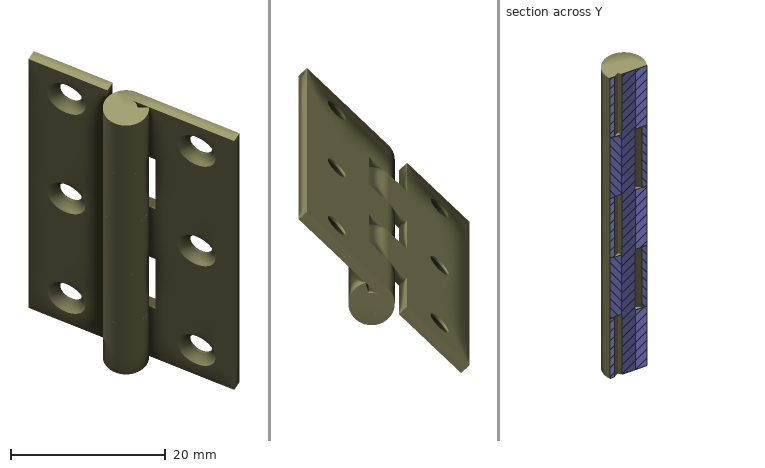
import cadquery as cq
import math

length = 50.0
width = 30.0
sheet = 1.5
pin_radius = 1.5
notch_edge = 3.5
knuckle_count = 5
curl_end_angle = 29.0

hole_x = 9.5
hole_pitch = 20.0
holes_per_leaf = 3
hole_diameter = 3.3
sink_diameter = 5.6
sink_angle = 90.0

barrel_radius = pin_radius + sheet
leaf_front = pin_radius
leaf_back = barrel_radius
half_width = width / 2
knuckle_length = length / knuckle_count


def on_circle(radius, degrees):
    """Point at an angle on a circle around the hinge axis."""
    angle = math.radians(degrees)
    return (radius * math.cos(angle), radius * math.sin(angle))


def knuckle(index):
    """Strip leaving the plate and curling around the pin, for one knuckle of the right leaf."""
    mid_angle = (90 + 360 + curl_end_angle) / 2
    return (
        cq.Workplane("XY", origin=(0, 0, index * knuckle_length))
        .moveTo(notch_edge, leaf_back)
        .lineTo(0, leaf_back)
        .threePointArc(on_circle(barrel_radius, mid_angle), on_circle(barrel_radius, curl_end_angle))
        .lineTo(*on_circle(pin_radius, curl_end_angle))
        .threePointArc(on_circle(pin_radius, mid_angle), (0, leaf_front))
        .lineTo(notch_edge, leaf_front)
        .close()
        .extrude(knuckle_length)
    )


def screw_holes(plate):
    """Drill the column of screw holes, countersunk on the barrel side."""
    first_z = (length - (holes_per_leaf - 1) * hole_pitch) / 2
    centers = [(hole_x, first_z + i * hole_pitch) for i in range(holes_per_leaf)]
    return (
        plate.copyWorkplane(cq.Workplane("XZ", origin=(0, leaf_front, 0)))
        .pushPoints(centers)
        .cskHole(hole_diameter, sink_diameter, sink_angle)
    )


def make_leaf(knuckle_indices):
    """Leaf on the +X side, with knuckles at the given places counted from the bottom."""
    plate = cq.Workplane("XY").box(half_width - notch_edge, sheet, length, centered=False)
    leaf = screw_holes(plate.translate((notch_edge, leaf_front, 0)))
    for index in knuckle_indices:
        leaf = leaf.union(knuckle(index))
    return leaf


def make_pin():
    """Plain pin, flush with both ends of the barrel."""
    return cq.Workplane("XY").circle(pin_radius).extrude(length)


right_leaf = make_leaf(range(0, knuckle_count, 2))
left_leaf = make_leaf(range(1, knuckle_count, 2)).mirror("YZ")
pin = make_pin()

result = cq.Compound.makeCompound([right_leaf.solids().val(), left_leaf.solids().val(), pin.val()])